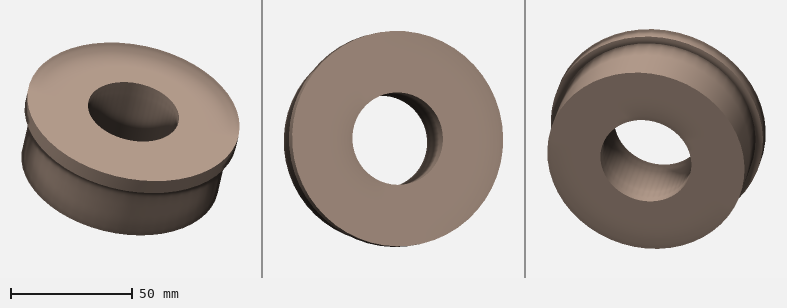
import cadquery as cq

flange_diameter = 88.9
body_diameter = 82.6
bore_diameter = 38.1
total_height = 31.8
flange_thickness = 6.5
tilt_angle = 14.5

body_height = total_height - flange_thickness

body = cq.Workplane("XY").circle(body_diameter / 2).extrude(body_height)
flange = (
    cq.Workplane("XY")
    .workplane(offset=body_height)
    .circle(flange_diameter / 2)
    .extrude(flange_thickness)
)
bore = cq.Workplane("XY").circle(bore_diameter / 2).extrude(total_height)
bushing = body.union(flange).cut(bore)

result = bushing.rotate((0, 0, 0), (1, 0, 0), -tilt_angle)